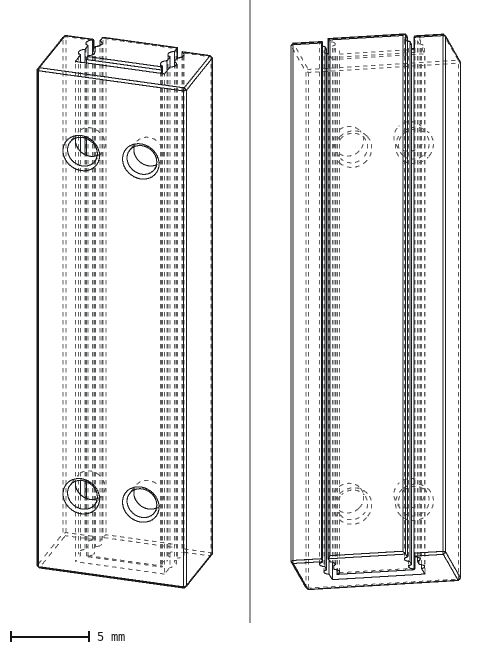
import cadquery as cq

LENGTH = 35.0
RAIL_WIDTH = 10.0
RAIL_HEIGHT = 5.5
ASSEMBLY_HEIGHT = 6.0
EDGE_CHAMFER = 0.15

CHANNEL_WIDTH = 6.0
CHANNEL_FLOOR = 1.8
SLIDE_WIDTH = 5.0
SLIDE_HEIGHT = 3.4
SLIDE_BOTTOM = ASSEMBLY_HEIGHT - SLIDE_HEIGHT

RACEWAY_DIAMETER = 1.0
RACEWAY_X = (CHANNEL_WIDTH + SLIDE_WIDTH) / 4
RACEWAY_TOP_DISTANCE = 1.2
RACEWAY_SPACING = 1.5
UPPER_RACEWAY_Y = ASSEMBLY_HEIGHT - RACEWAY_TOP_DISTANCE
LOWER_RACEWAY_Y = UPPER_RACEWAY_Y - RACEWAY_SPACING

HOLE_DIAMETER = 2.0
HOLE_CHAMFER = 0.228
HOLE_X = 2.0
HOLE_END_DISTANCE = 5.5
HOLE_Z = LENGTH / 2 - HOLE_END_DISTANCE
BLIND_HOLE_DEPTH = 1.58


def long_block(width, bottom, top):
    """Full-length block, centred on X and Z, between two heights in Y."""
    return cq.Workplane("XY").box(width, top - bottom, LENGTH).translate((0, (bottom + top) / 2, 0))


def raceway_cutters():
    """Four full-length cylinders that form the raceway grooves."""
    centres = [(side * RACEWAY_X, y) for side in (-1, 1) for y in (UPPER_RACEWAY_Y, LOWER_RACEWAY_Y)]
    return (
        cq.Workplane("XY", origin=(0, 0, -LENGTH / 2))
        .pushPoints(centres)
        .circle(RACEWAY_DIAMETER / 2)
        .extrude(LENGTH)
    )


def hole_cutter(x, z, depth):
    """Hole cutter that enters the mounting face, with a countersunk mouth."""
    radius = HOLE_DIAMETER / 2
    mouth_radius = radius + HOLE_CHAMFER
    bore = cq.Workplane("XZ", origin=(x, 0, z)).circle(radius).extrude(-depth)
    mouth = cq.Solid.makeCone(
        mouth_radius, radius, HOLE_CHAMFER, pnt=cq.Vector(x, 0, z), dir=cq.Vector(0, 1, 0)
    )
    return bore.union(cq.Workplane(mouth))


def make_rail():
    """U-shaped rail with chamfered outer edges, raceways and mounting holes."""
    rail = long_block(RAIL_WIDTH, 0, RAIL_HEIGHT).edges().chamfer(EDGE_CHAMFER)
    rail = rail.cut(long_block(CHANNEL_WIDTH, CHANNEL_FLOOR, ASSEMBLY_HEIGHT))
    rail = rail.cut(raceway_cutters())
    for z in (-HOLE_Z, HOLE_Z):
        rail = rail.cut(hole_cutter(-HOLE_X, z, CHANNEL_FLOOR))
        rail = rail.cut(hole_cutter(HOLE_X, z, BLIND_HOLE_DEPTH))
    return rail


def make_slide():
    """Slide with chamfered end edges, chamfered outer long edges and raceways."""
    slide = long_block(SLIDE_WIDTH, SLIDE_BOTTOM, ASSEMBLY_HEIGHT)
    slide = slide.edges(">Y or (<Y and |X)").chamfer(EDGE_CHAMFER)
    return slide.cut(raceway_cutters())


rail = make_rail()
slide = make_slide()

result = cq.Compound.makeCompound([rail.val(), slide.val()])